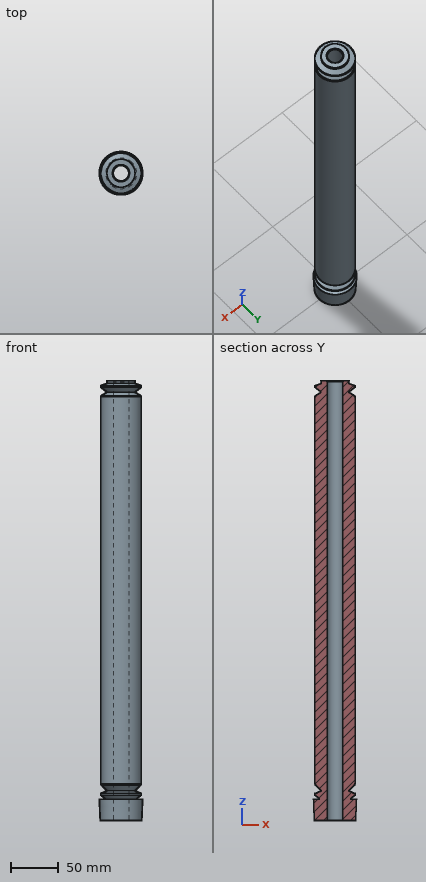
import cadquery as cq

total_length = 462.5
bore_diameter = 16.0
bore_chamfer = 1.0

tube_diameter = 43.0
tube_bottom = 37.5
tube_top = 447.0
shoulder_height = 1.5
shoulder_diameter = 41.5

neck_diameter = 29.5
upper_neck_z = 450.5
lower_neck_z = 31.5
spigot_height = 3.0
upper_collar_z = 456.5
lower_collar_z = 27.8
collar_diameter = 43.0
collar_edge_diameter = 42.5
collar_edge_offset = 1.0

cap_height = 22.5
cap_top_diameter = 46.0
cap_bottom_diameter = 44.0
cap_neck_diameter = 32.5


def line_to(profile, diameter, z):
    """Continue the half outline straight to a diameter and height."""
    return profile.lineTo(diameter / 2, z)


def collar_rim(profile, rim_z):
    """Run up the cone to a collar and around its rounded rim."""
    edge_radius = collar_edge_diameter / 2
    profile = profile.lineTo(edge_radius, rim_z - collar_edge_offset)
    return profile.threePointArc(
        (collar_diameter / 2, rim_z),
        (edge_radius, rim_z + collar_edge_offset),
    )


profile = cq.Workplane("XZ").moveTo(0, 0)

profile = line_to(profile, cap_bottom_diameter, 0)
profile = line_to(profile, cap_top_diameter, cap_height)
profile = line_to(profile, cap_neck_diameter, cap_height)

profile = collar_rim(profile, lower_collar_z)
profile = line_to(profile, neck_diameter, lower_neck_z)

profile = line_to(profile, shoulder_diameter, tube_bottom)
profile = line_to(profile, tube_diameter, tube_bottom + shoulder_height)
profile = line_to(profile, tube_diameter, tube_top - shoulder_height)
profile = line_to(profile, shoulder_diameter, tube_top)

profile = line_to(profile, neck_diameter, upper_neck_z)
profile = collar_rim(profile, upper_collar_z)
profile = line_to(profile, neck_diameter, total_length - spigot_height)
profile = line_to(profile, neck_diameter, total_length)
profile = line_to(profile, 0, total_length)

body = profile.close().revolve(360, (0, 0, 0), (0, 1, 0))

bore = cq.Workplane("XY").circle(bore_diameter / 2).extrude(total_length)
mouth = (
    cq.Workplane("XY")
    .workplane(offset=total_length - bore_chamfer)
    .circle(bore_diameter / 2)
    .workplane(offset=bore_chamfer)
    .circle(bore_diameter / 2 + bore_chamfer)
    .loft()
)

result = body.cut(bore).cut(mouth)